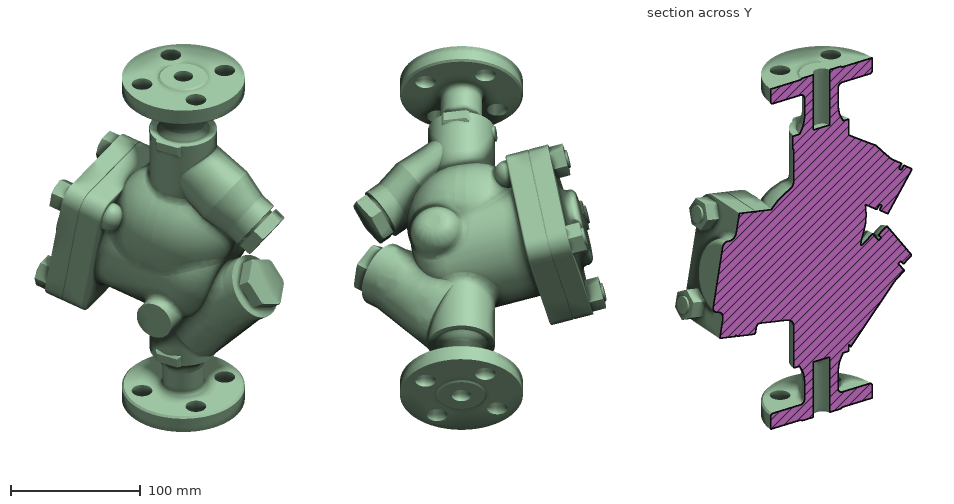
import cadquery as cq
import math


overall_height = 297
flange_diameter = 95
raised_face_diameter = 36
raised_face_base_diameter = 39
raised_face_height = 1
flange_thickness = 13.6
flange_edge_chamfer = 1.5
bolt_circle_diameter = 66.7
bolt_hole_diameter = 16
bolt_hole_count = 4
bolt_start_angle = 45
bore_diameter = 15

neck_diameter = 32
neck_fillet = 3.5
collar_diameter = 34.5
collar_wide_diameter = 41
collar_start_z = 114
collar_step_z = 107

trunk_diameter = 52
trunk_half_length = 100.7
pad_width = 21.5
pad_height = 9
pad_reach = 27
badge_diameter = 12
badge_z = 94.7
badge_depth = 5
pad_chamfer = 1.8

chamber_radius = 46
chamber_center_z = 13
chamber_end_x = (-12, -4)
chamber_trunk_fillet = 6.5

barrel_tilt = 10
barrel_angle = 180 - barrel_tilt
barrel_chamber_fillet = 14
barrel_trunk_fillet = 7
barrel_axis_z = -18.6
barrel_diameter = 87.5
barrel_closed_end = 35
barrel_end_fillet = 25
cover_face = 87.1
cover_thickness = 15
body_flange_thickness = 18
body_flange_edge_fillet = 1.5
body_flange_root_fillet = 2.5
gasket_thickness = 1
gasket_inset = 0.8
cover_size = 105
cover_corner_radius = 14
dome_diameter = 60
dome_height = 11
dome_edge_fillet = 4.75
dome_root_fillet = 6

stud_offset = 38
stud_diameter = 14
stud_length = 12.75
nut_flats = 22
nut_height = 11
nut_turn = 30
ear_diameter = 22.2
ear_length = 12
ear_nose_fillet = 10

plug_flats = 36
plug_height = 9.8
plug_neck_height = 2.5
plug_neck_diameter = 32
plug_chamfer = 1

upper_port_angle = -35
upper_port_axis_z = 75.5
upper_port_face = 77.3
upper_port_root_diameter = 47
upper_port_diameter = 50.5
upper_port_rim_diameter = 41
upper_port_rim_length = 12
upper_port_taper_length = 21

lower_port_angle = 36
lower_port_axis_z = -70.8
lower_port_face = 77.5
lower_port_diameter = 50.5
lower_port_rim_length = 10
lower_port_root_half_width = 26.5
lower_port_root_half_height = 38
lower_port_root_distance = 6.5

boss_diameter = 30
boss_x = 2.5
boss_z = -45
boss_reach = 53
boss_root_fillet = 5
bulge_diameter = 40
bulge_x = 11.5
bulge_z = -21
bulge_reach = 56
bulge_edge_fillet = 14
bulge_root_fillet = 6

seam_samples = (0.2, 0.5, 0.8)
seam_tolerance = 0.01

half_arc = math.sqrt(0.5)


def cylinder(diameter, length):
    return cq.Workplane("XY").circle(diameter / 2).extrude(length)


def across_corners(flats):
    return flats / math.cos(math.pi / 6)


def hexagon(flats, height, turn):
    prism = cq.Workplane("XY").polygon(6, across_corners(flats)).extrude(height)
    return prism.rotate((0, 0, 0), (0, 0, 1), turn)


def inclined(shape, angle, axis_z):
    """Lay local Z along an axis that rises by angle from +X and crosses the pipe axis at axis_z."""
    return shape.rotate((0, 0, 0), (0, 1, 0), 90 - angle).translate((0, 0, axis_z))


def end_connection():
    """Flange and neck above the trunk; local Z is the pipe axis."""
    top_z = overall_height / 2
    face_z = top_z - raised_face_height
    back_z = face_z - flange_thickness
    flange = cylinder(flange_diameter, flange_thickness).faces("<Z").chamfer(flange_edge_chamfer)
    flange = flange.translate((0, 0, back_z))
    raised = (
        cq.Workplane("XY")
        .workplane(offset=face_z)
        .circle(raised_face_base_diameter / 2)
        .workplane(offset=raised_face_height)
        .circle(raised_face_diameter / 2)
        .loft(ruled=True)
    )
    neck_radius = neck_diameter / 2
    arc_mid = neck_fillet * (1 - half_arc)
    neck = (
        cq.Workplane("XZ")
        .moveTo(0, trunk_half_length)
        .lineTo(collar_wide_diameter / 2, trunk_half_length)
        .lineTo(collar_diameter / 2, collar_step_z)
        .lineTo(neck_radius, collar_start_z)
        .lineTo(neck_radius, back_z - neck_fillet)
        .threePointArc((neck_radius + arc_mid, back_z - arc_mid), (neck_radius + neck_fillet, back_z))
        .lineTo(0, back_z)
        .close()
        .revolve(360, (0, 0, 0), (0, 1, 0))
    )
    bolt_holes = (
        cq.Workplane("XY")
        .workplane(offset=back_z)
        .polarArray(bolt_circle_diameter / 2, bolt_start_angle, 360, bolt_hole_count)
        .circle(bolt_hole_diameter / 2)
        .extrude(flange_thickness)
    )
    bore = cylinder(bore_diameter, top_z - trunk_half_length).translate((0, 0, trunk_half_length))
    return flange.union(raised).union(neck).cut(bolt_holes).cut(bore)


def trunk_pads():
    """Rectangular pads at the trunk ends and a round badge on the -X side."""
    pad_z = trunk_half_length - pad_height / 2
    front_pad = cq.Workplane("XY").box(pad_width, pad_reach, pad_height)
    front_pad = front_pad.faces("<Y").edges("|Z or <Z").chamfer(pad_chamfer)
    front_pad = front_pad.translate((0, -pad_reach / 2, pad_z))
    back_pad = front_pad.mirror("XZ")
    lower_pad = front_pad.mirror("XY")
    badge = cylinder(badge_diameter, badge_depth).rotate((0, 0, 0), (0, 1, 0), -90)
    badge = badge.translate((badge_depth - pad_reach, 0, badge_z))
    return front_pad.union(back_pad).union(lower_pad).union(badge)


def chamber():
    left_x, right_x = chamber_end_x
    diagonal = chamber_radius * half_arc
    capsule = (
        cq.Workplane("XY")
        .moveTo(left_x - chamber_radius, 0)
        .threePointArc((left_x - diagonal, diagonal), (left_x, chamber_radius))
        .lineTo(right_x, chamber_radius)
        .threePointArc((right_x + diagonal, diagonal), (right_x + chamber_radius, 0))
        .close()
        .revolve(360, (0, 0, 0), (1, 0, 0))
    )
    return capsule.translate((0, 0, chamber_center_z))


def barrel():
    """Float barrel; local Z points out of the cover."""
    length = barrel_closed_end + cover_face - cover_thickness
    body = cylinder(barrel_diameter, length).faces("<Z").edges().fillet(barrel_end_fillet)
    return body.translate((0, 0, -barrel_closed_end))


def square_plate(size, corner_radius, thickness):
    return cq.Workplane("XY").rect(size, size).extrude(thickness).edges("|Z").fillet(corner_radius)


def cover_and_flange():
    cover = square_plate(cover_size, cover_corner_radius, cover_thickness)
    cover = cover.translate((0, 0, cover_face - cover_thickness))
    gasket_z = cover_face - cover_thickness - gasket_thickness
    gasket = square_plate(cover_size - 2 * gasket_inset, cover_corner_radius - gasket_inset, gasket_thickness)
    body_flange = square_plate(cover_size, cover_corner_radius, body_flange_thickness)
    body_flange = body_flange.faces("<Z").edges().fillet(body_flange_edge_fillet)
    root = cylinder(barrel_diameter, body_flange_thickness).translate((0, 0, -body_flange_thickness))
    body_flange = blend(body_flange, root, body_flange_root_fillet)
    return (
        cover.union(gasket.translate((0, 0, gasket_z)))
        .union(body_flange.translate((0, 0, gasket_z - body_flange_thickness)))
        .union(cover_dome())
    )


def cover_dome():
    radius = dome_diameter / 2
    root_mid = dome_root_fillet * (1 - half_arc)
    edge_mid = dome_edge_fillet * (1 - half_arc)
    return (
        cq.Workplane("XZ")
        .lineTo(radius + dome_root_fillet, 0)
        .threePointArc((radius + root_mid, root_mid), (radius, dome_root_fillet))
        .lineTo(radius, dome_height - dome_edge_fillet)
        .threePointArc((radius - edge_mid, dome_height - edge_mid), (radius - dome_edge_fillet, dome_height))
        .lineTo(0, dome_height)
        .close()
        .revolve(360, (0, 0, 0), (0, 1, 0))
        .translate((0, 0, cover_face))
    )


def studs_and_ears():
    """Four nuts on the cover, and the ears behind the upper two."""
    back = cover_face - cover_thickness - gasket_thickness - body_flange_thickness
    stud = cylinder(stud_diameter, stud_length)
    ear = cylinder(ear_diameter, ear_length).faces("<Z").edges().fillet(ear_nose_fillet)
    parts = cq.Workplane("XY")
    for up in (-1, 1):
        for side in (-1, 1):
            place = (up * stud_offset, side * stud_offset, cover_face)
            turn = nut_turn if up == side else 0
            parts = parts.union(hexagon(nut_flats, nut_height, turn).union(stud).translate(place))
            if up > 0:
                parts = parts.union(ear.translate((place[0], place[1], back - ear_length)))
    return parts


def plug():
    """Round neck and hexagon head with chamfered corners; local Z points outward."""
    neck = cylinder(plug_neck_diameter, plug_neck_height)
    head = hexagon(plug_flats, plug_height, 0).translate((0, 0, plug_neck_height))
    crown = cylinder(across_corners(plug_flats), plug_height + plug_neck_height)
    return neck.union(head.intersect(crown.faces(">Z").chamfer(plug_chamfer)))


def upper_port():
    rim_start = upper_port_face - upper_port_rim_length
    taper_start = rim_start - upper_port_taper_length
    profile = (
        cq.Workplane("XZ")
        .lineTo(upper_port_root_diameter / 2, 0)
        .lineTo(upper_port_diameter / 2, taper_start)
        .lineTo(upper_port_rim_diameter / 2, rim_start)
        .lineTo(upper_port_rim_diameter / 2, upper_port_face)
        .lineTo(0, upper_port_face)
        .close()
    )
    return profile.revolve(360, (0, 0, 0), (0, 1, 0))


def lower_port():
    """Oval root that blends into a round rim; local X lies in the plane of both axes."""
    rim_start = lower_port_face - lower_port_rim_length
    body = (
        cq.Workplane("XY")
        .workplane(offset=lower_port_root_distance)
        .ellipse(lower_port_root_half_height, lower_port_root_half_width)
        .workplane(offset=rim_start - lower_port_root_distance)
        .circle(lower_port_diameter / 2)
        .loft(ruled=True)
    )
    return body.union(cylinder(lower_port_diameter, lower_port_rim_length).translate((0, 0, rim_start)))


def side_boss():
    return cq.Workplane("XZ").center(boss_x, boss_z).circle(boss_diameter / 2).extrude(boss_reach)


def side_bulge():
    bulge = cq.Workplane("XZ").center(bulge_x, bulge_z).circle(bulge_diameter / 2).extrude(-bulge_reach)
    return bulge.faces(">Y").edges().fillet(bulge_edge_fillet)


def blend(body, feature, radius):
    """Join two solids and round the edges where their surfaces meet."""
    skins = [solid.val().Shells()[0] for solid in (body, feature)]
    joined = body.union(feature)
    seams = []
    for edge in joined.edges().vals():
        samples = [cq.Vertex.makeVertex(*edge.positionAt(t).toTuple()) for t in seam_samples]
        if all(point.distance(skin) < seam_tolerance for point in samples for skin in skins):
            seams.append(edge)
    return joined.newObject(seams).fillet(radius)


def casting():
    """Trunk, chamber, barrel, boss and bulge with rounded joints."""
    upper_trunk = cylinder(trunk_diameter, trunk_half_length)
    lower_trunk = upper_trunk.translate((0, 0, -trunk_half_length))
    body = blend(upper_trunk, chamber(), chamber_trunk_fillet)
    body = blend(body, inclined(barrel(), barrel_angle, barrel_axis_z), barrel_chamber_fillet)
    body = blend(body, lower_trunk, barrel_trunk_fillet)
    body = blend(body, side_boss(), boss_root_fillet)
    return blend(body, side_bulge(), bulge_root_fillet)


barrel_parts = cover_and_flange().union(studs_and_ears())
upper_port_parts = upper_port().union(plug().translate((0, 0, upper_port_face)))
lower_port_parts = lower_port().union(plug().translate((0, 0, lower_port_face)))
connection = end_connection()

result = (
    casting()
    .union(inclined(upper_port_parts, upper_port_angle, upper_port_axis_z))
    .union(inclined(lower_port_parts, lower_port_angle, lower_port_axis_z))
    .union(inclined(barrel_parts, barrel_angle, barrel_axis_z))
    .union(trunk_pads())
    .union(connection)
    .union(connection.mirror("XY"))
)